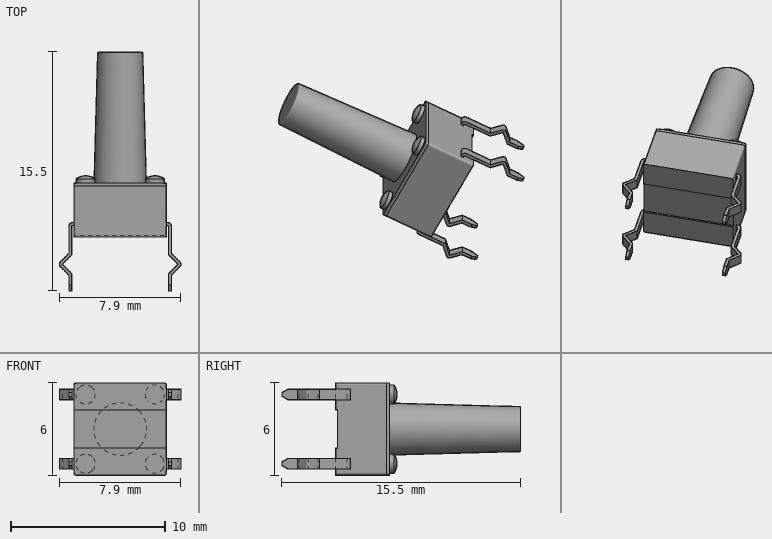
import cadquery as cq
import math


body_side = 6.0
body_height = 3.5
corner_radius = 0.15
cover_thickness = 0.2
base_height = body_height - cover_thickness
channel_width = 2.48
channel_depth = 0.11

plunger_length = 8.5
plunger_root_radius = 1.7
plunger_tip_radius = 1.47
plunger_edge_radius = 0.1
corner_pitch = 4.5
stud_radius = 0.62
stud_wall_height = 0.28
stud_dome_height = 0.2

lead_thickness = 0.2
lead_width = 0.7
lead_outer_x = 3.33
lead_exit_y = 0.95
bend_outer_radius = 0.25
bend_inner_radius = bend_outer_radius - lead_thickness
kink_y = -1.77
kink_outer_x = 3.95
lead_end_y = -3.5
tip_width = 0.23
tip_length = 0.4


def square_prism(start_y, height):
    """Square block with rounded corners, rising along +Y from start_y."""
    return (
        cq.Workplane("XZ", origin=(0, start_y, 0))
        .rect(body_side, body_side)
        .extrude(-height)
        .edges("|Y")
        .fillet(corner_radius)
    )


def make_base():
    channel = cq.Workplane("XY").box(body_side, 2 * channel_depth, channel_width)
    return square_prism(0, base_height).cut(channel)


def make_plunger():
    """Tapered round stem, with its axis on Y and a rounded rim at the tip."""
    tip_y = body_height + plunger_length
    stem = (
        cq.Workplane("XY")
        .moveTo(0, base_height)
        .lineTo(plunger_root_radius, base_height)
        .lineTo(plunger_root_radius, body_height)
        .lineTo(plunger_tip_radius, tip_y)
        .lineTo(0, tip_y)
        .close()
        .revolve(360, (0, 0, 0), (0, 1, 0))
    )
    return stem.faces(">Y").edges().fillet(plunger_edge_radius)


def make_stud():
    """Round stud with a domed top, with its axis on Y."""
    wall_top = body_height + stud_wall_height
    dome_radius = (stud_radius**2 + stud_dome_height**2) / (2 * stud_dome_height)
    dome_center_y = wall_top + stud_dome_height - dome_radius
    half_angle = math.asin(stud_radius / dome_radius) / 2
    dome_mid = (
        dome_radius * math.sin(half_angle),
        dome_center_y + dome_radius * math.cos(half_angle),
    )
    return (
        cq.Workplane("XY")
        .moveTo(0, base_height)
        .lineTo(stud_radius, base_height)
        .lineTo(stud_radius, wall_top)
        .threePointArc(dome_mid, (0, wall_top + stud_dome_height))
        .close()
        .revolve(360, (0, 0, 0), (0, 1, 0))
    )


def make_cover():
    """Cover plate in one piece with the plunger and the four studs."""
    cover = square_prism(base_height, cover_thickness).union(make_plunger())
    stud = make_stud()
    for x in (-corner_pitch / 2, corner_pitch / 2):
        for z in (-corner_pitch / 2, corner_pitch / 2):
            cover = cover.union(stud.translate((x, 0, z)))
    return cover


def make_lead_blank():
    """Block with the lead's flat outline, pointed at the tip, running along X."""
    return (
        cq.Workplane("YZ")
        .moveTo(lead_exit_y, -lead_width / 2)
        .lineTo(lead_end_y + tip_length, -lead_width / 2)
        .lineTo(lead_end_y, -tip_width / 2)
        .lineTo(lead_end_y, tip_width / 2)
        .lineTo(lead_end_y + tip_length, lead_width / 2)
        .lineTo(lead_exit_y, lead_width / 2)
        .close()
        .extrude(kink_outer_x)
    )


def make_lead():
    """Bent strip on the +X side, centred on Z = 0, with a tapered tip."""
    wall_x = body_side / 2
    inner_x = lead_outer_x - lead_thickness
    diagonal = math.sqrt(0.5)

    apex_x = kink_outer_x - lead_thickness
    round_offset = lead_thickness * diagonal
    inner_rise = apex_x - inner_x
    outer_rise = apex_x + lead_thickness / diagonal - lead_outer_x

    bend_x = lead_outer_x - bend_outer_radius
    bend_y = lead_exit_y - bend_outer_radius
    outer_mid = (bend_x + bend_outer_radius * diagonal, bend_y + bend_outer_radius * diagonal)
    inner_mid = (bend_x + bend_inner_radius * diagonal, bend_y + bend_inner_radius * diagonal)

    strip = (
        cq.Workplane("XY", origin=(0, 0, -lead_width / 2))
        .moveTo(wall_x, lead_exit_y)
        .lineTo(bend_x, lead_exit_y)
        .threePointArc(outer_mid, (lead_outer_x, bend_y))
        .lineTo(lead_outer_x, kink_y + outer_rise)
        .lineTo(apex_x + round_offset, kink_y + round_offset)
        .threePointArc((kink_outer_x, kink_y), (apex_x + round_offset, kink_y - round_offset))
        .lineTo(lead_outer_x, kink_y - outer_rise)
        .lineTo(lead_outer_x, lead_end_y)
        .lineTo(inner_x, lead_end_y)
        .lineTo(inner_x, kink_y - inner_rise)
        .lineTo(apex_x, kink_y)
        .lineTo(inner_x, kink_y + inner_rise)
        .lineTo(inner_x, bend_y)
        .threePointArc(inner_mid, (bend_x, lead_exit_y - lead_thickness))
        .lineTo(wall_x, lead_exit_y - lead_thickness)
        .close()
        .extrude(lead_width)
    )
    return strip.intersect(make_lead_blank())


def make_leads():
    """Four leads: one pair on +X and its mirror image on -X."""
    leads = []
    right_lead = make_lead()
    for lead in (right_lead, right_lead.mirror("YZ")):
        for z in (-corner_pitch / 2, corner_pitch / 2):
            leads.append(lead.translate((0, 0, z)).val())
    return leads


base = make_base()
cover = make_cover()
leads = make_leads()

result = cq.Compound.makeCompound([base.val(), cover.val(), *leads])